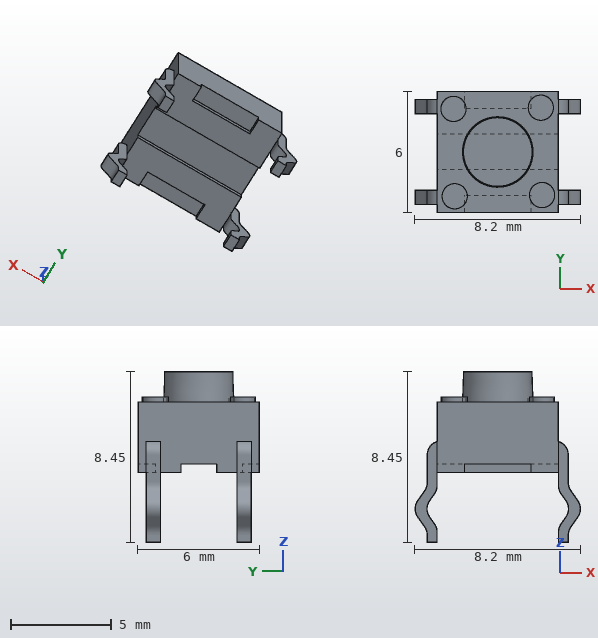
import cadquery as cq
import math

total_height = 8.45
body_bottom = 3.46
body_height = 3.5
body_top = body_bottom + body_height

body_side = 6
recess_height = 0.41
channel_width = 1.76
front_recess_width = 3.31
front_recess_depth = 0.845

button_bottom_radius = 1.75
button_top_radius = 1.7

rivet_radius = 0.625
rivet_height = 0.25
rivet_circle_radius = 3.06
rivet_start_angle = 45.8

leg_span = 8.2
leg_width = 0.71
leg_thickness = 0.5
leg_spacing = 4.495
leg_top = 5.03
bend_radius = 0.7
crimp_angle = math.radians(35)
crimp_middle = 1.66
crest_thickness = 0.6


def make_body():
    body = cq.Workplane().box(body_side, body_side, body_height, centered=(True, True, False))
    body = body.cut(
        cq.Workplane().box(body_side, channel_width, recess_height, centered=(True, True, False))
    )
    for side in (-1, 1):
        recess = cq.Workplane().box(
            front_recess_width, 2 * front_recess_depth, recess_height, centered=(True, True, False)
        )
        body = body.cut(recess.translate((0, side * body_side / 2, 0)))
    return body.translate((0, 0, body_bottom))


def make_button():
    return (
        cq.Workplane("XZ")
        .moveTo(0, body_top)
        .lineTo(button_bottom_radius, body_top)
        .lineTo(button_top_radius, total_height)
        .lineTo(0, total_height)
        .close()
        .revolve(360, (0, 0, 0), (0, 1, 0))
    )


def make_rivets():
    return (
        cq.Workplane()
        .workplane(offset=body_top)
        .polarArray(rivet_circle_radius, rivet_start_angle, 360, 4)
        .circle(rivet_radius)
        .extrude(rivet_height)
    )


def add_crimp(outline, straight_x, crest_x, direction):
    """Draw one edge of the crimp, upwards (direction 1) or downwards (direction -1)."""
    arc_rise = bend_radius * math.sin(crimp_angle)
    arc_shift = bend_radius * (1 - math.cos(crimp_angle))
    slope_rise = (abs(crest_x - straight_x) - 2 * arc_shift) / math.tan(crimp_angle)
    slope_start = arc_rise + slope_rise
    crimp_start = slope_start + arc_rise

    def point(x, offset):
        return (x, crimp_middle + direction * offset)

    turn = direction * bend_radius
    return (
        outline.lineTo(*point(straight_x, -crimp_start))
        .radiusArc(point(straight_x - arc_shift, -slope_start), -turn)
        .lineTo(*point(crest_x + arc_shift, -arc_rise))
        .radiusArc(point(crest_x + arc_shift, arc_rise), turn)
        .lineTo(*point(straight_x - arc_shift, slope_start))
        .radiusArc(point(straight_x, crimp_start), -turn)
    )


def make_leg():
    """Leg on the -X side, centred on Y = 0, with its top end bent into the body."""
    inner_x = -body_side / 2
    outer_x = inner_x - leg_thickness
    crest_x = -leg_span / 2
    bend_end_x = outer_x + bend_radius

    outline = cq.Workplane("XZ").moveTo(outer_x, 0)
    outline = add_crimp(outline, outer_x, crest_x, 1)
    outline = (
        outline.lineTo(outer_x, leg_top - bend_radius)
        .radiusArc((bend_end_x, leg_top), bend_radius)
        .lineTo(bend_end_x, leg_top - leg_thickness)
        .lineTo(inner_x, leg_top - leg_thickness)
    )
    outline = add_crimp(outline, inner_x, crest_x + crest_thickness, -1)
    return outline.lineTo(inner_x, 0).close().extrude(leg_width / 2, both=True)


result = make_body().union(make_button()).union(make_rivets())
left_leg = make_leg()
for leg in (left_leg, left_leg.mirror("YZ")):
    for side in (-1, 1):
        result = result.union(leg.translate((0, side * leg_spacing / 2, 0)))